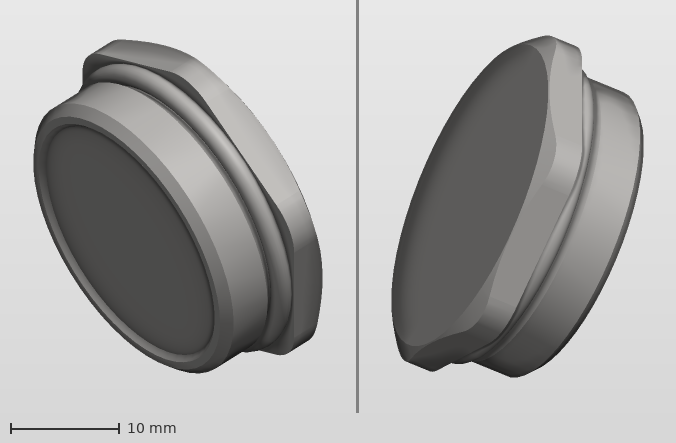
import cadquery as cq
import math

across_flats = 30.0
across_corners = 33.1
total_length = 11.0
head_thickness = 3.5
head_face_diameter = 29.8
head_chamfer_angle = 30.0

ring_diameter = 29.98
ring_section_radius = 1.0
ring_centre_offset = 0.7

body_diameter = 28.3
tip_diameter = 26.5
body_length = 5.0

recess_diameter = 24.98
recess_floor_diameter = 24.0

head_start = total_length - head_thickness
ring_path_radius = ring_diameter / 2 - ring_section_radius
neck_radius = ring_path_radius - ring_section_radius


def revolve_profile(points):
    """Revolve (radius, y) points about the Y axis."""
    return cq.Workplane("XY").polyline(points).close().revolve(360, (0, 0), (0, 1))


def make_head():
    sharp_corners = across_flats / math.cos(math.radians(30))
    corner_rounding = (sharp_corners - across_corners) / 2 / (1 / math.cos(math.radians(30)) - 1)
    hexagon = (
        cq.Workplane("XZ", origin=(0, total_length, 0))
        .transformed(rotate=(0, 0, 30))
        .polygon(6, sharp_corners)
        .extrude(head_thickness)
        .edges("|Y")
        .fillet(corner_rounding)
    )
    face_radius = head_face_diameter / 2
    envelope_radius = sharp_corners / 2
    chamfer_depth = (envelope_radius - face_radius) * math.tan(math.radians(head_chamfer_angle))
    envelope = revolve_profile([
        (0, head_start),
        (envelope_radius, head_start),
        (envelope_radius, total_length - chamfer_depth),
        (face_radius, total_length),
        (0, total_length),
    ])
    return hexagon.intersect(envelope)


def make_body():
    body_radius = body_diameter / 2
    tip_radius = tip_diameter / 2
    tip_chamfer = body_radius - tip_radius
    neck_taper = body_radius - neck_radius
    recess_radius = recess_diameter / 2
    recess_floor_radius = recess_floor_diameter / 2
    recess_depth = recess_radius - recess_floor_radius
    return revolve_profile([
        (0, recess_depth),
        (recess_floor_radius, recess_depth),
        (recess_radius, 0),
        (tip_radius, 0),
        (body_radius, tip_chamfer),
        (body_radius, body_length),
        (neck_radius, body_length + neck_taper),
        (neck_radius, head_start),
        (0, head_start),
    ])


def make_ring():
    ring_y = head_start - ring_centre_offset
    seat_half_width = math.sqrt(ring_section_radius**2 - ring_centre_offset**2)
    return (
        cq.Workplane("XY")
        .moveTo(neck_radius, head_start)
        .lineTo(ring_path_radius + seat_half_width, head_start)
        .threePointArc((ring_path_radius, ring_y - ring_section_radius), (neck_radius, ring_y))
        .close()
        .revolve(360, (0, 0), (0, 1))
    )


result = make_head().union(make_body()).union(make_ring())